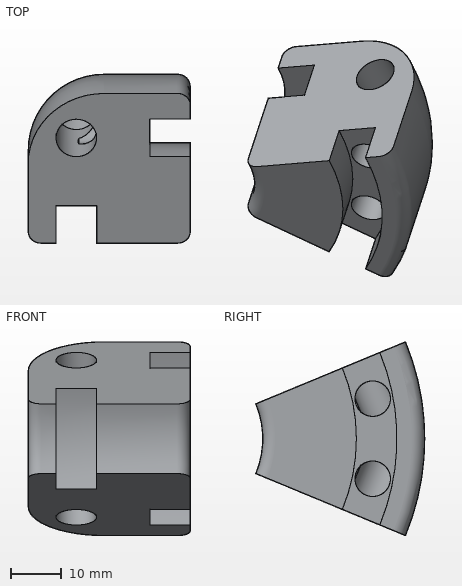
import cadquery as cq
import math

inner_radius = 18.0
outer_radius = 50.0
length = 32.0
sector_angle = 45.0
large_corner = 15.0
small_corner = 2.5

channel_size = 8.0
inner_channel_x = 5.5
end_channel_radius = 36.5
end_channel_floor_x = length - channel_size

bore_depth = 14.0
tip_angle = 118.0
face_bore_diameter = 8.0
cross_bore_diameter = 7.0
bore_x = inner_channel_x + channel_size / 2
bore_radius = end_channel_radius + channel_size / 2
cross_bore_angle = sector_angle / 4


def turn_about_x(shape, angle):
    return shape.rotate((0, 0, 0), (1, 0, 0), angle)


def sweep_sector(profile):
    """Revolve an XY profile about the X axis, evenly either side of the XY plane."""
    swept = profile.revolve(sector_angle, (0, 0, 0), (1, 0, 0))
    return turn_about_x(swept, -sector_angle / 2)


def make_body():
    """Sector with one large rounded outer corner and three small rounded corners."""
    section = (
        cq.Sketch()
        .rect(length, outer_radius - inner_radius)
        .vertices("<X and >Y")
        .fillet(large_corner)
        .reset()
        .vertices(">X or <Y")
        .fillet(small_corner)
    )
    middle = cq.Vector(length / 2, (inner_radius + outer_radius) / 2)
    return sweep_sector(cq.Workplane("XY").placeSketch(section.moved(cq.Location(middle))))


def make_channel(x_start, radius_start):
    """Square channel following the sweep, placed by its lowest X and smallest radius."""
    corner = cq.Workplane("XY").moveTo(x_start, radius_start)
    return sweep_sector(corner.rect(channel_size, channel_size, centered=False))


def make_drilled_hole(diameter):
    """Blind hole entering at the origin and running toward -Z to a conical tip."""
    hole_radius = diameter / 2
    tip_depth = bore_depth + hole_radius / math.tan(math.radians(tip_angle / 2))
    outline = [(0, 0), (hole_radius, 0), (hole_radius, -bore_depth), (0, -tip_depth)]
    half_section = cq.Workplane("XZ").polyline(outline).close()
    return half_section.revolve(360, (0, 0, 0), (0, 1, 0))


def make_face_bore():
    """Bore square to the upper sector face."""
    hole = make_drilled_hole(face_bore_diameter).translate((bore_x, bore_radius, 0))
    return turn_about_x(hole, sector_angle / 2)


def make_cross_bore():
    """Bore from the floor of the end channel, toward -X, into the upper face bore."""
    hole = make_drilled_hole(cross_bore_diameter).rotate((0, 0, 0), (0, 1, 0), 90)
    hole = hole.translate((end_channel_floor_x, bore_radius, 0))
    return turn_about_x(hole, cross_bore_angle)


result = make_body()
result = result.cut(make_channel(inner_channel_x, inner_radius))
result = result.cut(make_channel(end_channel_floor_x, end_channel_radius))

for upper_bore in (make_face_bore(), make_cross_bore()):
    result = result.cut(upper_bore).cut(upper_bore.mirror("XY"))
result = result.solids()